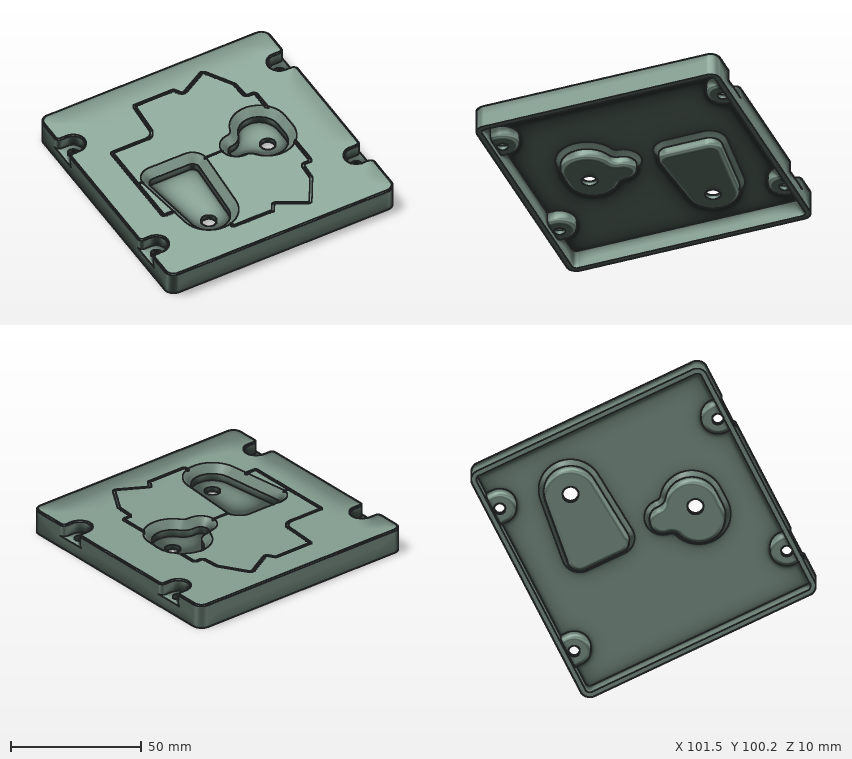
import cadquery as cq
import math

LENGTH = 101.5
WIDTH = 100.2
THICKNESS = 10.0
CORNER_RADIUS = 4.0
EDGE_CHAMFER = 0.5
WALL = 2.0

SCREW_Y = 45.5
FRONT_SCREW_XS = (-31.9, 32.3)
BACK_SCREW_XS = (-31.9, 27.6)
SCREW_HOLE_DIAMETER = 4.4
NOTCH_WIDTH = 8.9
NOTCH_FLOOR_Z = 5.0
NOTCH_MOUTH_RADIUS = 1.9

POCKET_FLOOR_Z = 4.1
OUTLINE_HEIGHT = 1.0
FLARE_WIDTH = 3.2
FLARE_DEPTH = 3.0
LOBE_RADIUS = 11.5
PORT_DIAMETER = 6.2

LOBE_XS = (-4.9, 1.0)
LOBE_Y = 21.2
NECK_Y = 8.3
NECK_RADIUS = 6.4
NECK_BLEND_RADIUS = 3.0
UPPER_PORT = (0.0, 22.2)

LOWER_PORT = (25.7, -18.5)
SMALL_CORNER_RADIUS = 6.1
SMALL_CORNER_X = 0.4
SMALL_CORNER_YS = (-11.3, -27.1)

GROOVE_WIDTH = 1.0
GROOVE_DEPTH = 0.5
GROOVE_TOP_Y = 29.0
GROOVE_BOTTOM_Y = -35.2
TIGHT_BEND = 0.5
MEDIUM_BEND = 1.2
WIDE_BEND = 4.1
GROOVE_CORNERS = [
    (-21.7, GROOVE_TOP_Y, MEDIUM_BEND),
    (-21.7, 25.0, MEDIUM_BEND),
    (-29.6, 24.5, MEDIUM_BEND),
    (-41.8, 17.2, MEDIUM_BEND),
    (-34.7, 4.7, MEDIUM_BEND),
    (-38.4, 2.5, TIGHT_BEND),
    (-38.4, -14.9, TIGHT_BEND),
    (-20.0, -16.2, WIDE_BEND),
    (-20.0, GROOVE_BOTTOM_Y, TIGHT_BEND),
]
CENTRE_GROOVE_WIDTH = 0.5


def make_plate():
    plate = cq.Workplane("XY").box(LENGTH, WIDTH, THICKNESS, centered=(True, True, False))
    return plate.edges("|Z").fillet(CORNER_RADIUS)


def cut_notch(plate, screw_x, side):
    """Cut one round-ended notch into the front (side = -1) or back (side = 1)."""
    height = THICKNESS - NOTCH_FLOOR_Z
    reach = WIDTH / 2 - SCREW_Y
    floor = cq.Workplane("XY").workplane(offset=NOTCH_FLOOR_Z)
    round_end = floor.center(screw_x, side * SCREW_Y).circle(NOTCH_WIDTH / 2).extrude(height)
    channel = (
        floor.center(screw_x, side * (SCREW_Y + reach / 2))
        .rect(NOTCH_WIDTH, reach)
        .extrude(height)
    )
    return plate.cut(round_end.union(channel))


def rounded_hull(circles):
    """Block hugging the circles (x, y, radius), which are listed counter-clockwise."""
    tangent_points = []
    for (x1, y1, r1), (x2, y2, r2) in zip(circles, circles[1:] + circles[:1]):
        span = cq.Vector(x2 - x1, y2 - y1)
        along = span.normalized()
        outward = cq.Vector(along.y, -along.x)
        lean = (r1 - r2) / span.Length
        normal = along * lean + outward * (1 - lean**2) ** 0.5
        tangent_points.append((x1 + r1 * normal.x, y1 + r1 * normal.y))
        tangent_points.append((x2 + r2 * normal.x, y2 + r2 * normal.y))
    block = cq.Workplane("XY").polyline(tangent_points).close().extrude(OUTLINE_HEIGHT)
    for x, y, radius in circles:
        block = block.union(cq.Workplane("XY").center(x, y).circle(radius).extrude(OUTLINE_HEIGHT))
    return block.clean()


def toward(start, end, distance):
    """The point at the given distance from start on the way to end."""
    reach = distance / math.dist(start, end)
    return (start[0] + (end[0] - start[0]) * reach, start[1] + (end[1] - start[1]) * reach)


def left_blend_centre():
    """Centre of the arc that rolls along the left lobe and the round neck."""
    lobe_gap = LOBE_RADIUS + NECK_BLEND_RADIUS
    neck_gap = NECK_RADIUS + NECK_BLEND_RADIUS
    lobe_x, lobe_y = LOBE_XS[0], LOBE_Y - NECK_Y
    span = math.hypot(lobe_x, lobe_y)
    spread = math.acos((span**2 + neck_gap**2 - lobe_gap**2) / (2 * span * neck_gap))
    direction = math.atan2(lobe_y, lobe_x) + spread
    return (neck_gap * math.cos(direction), NECK_Y + neck_gap * math.sin(direction))


def right_blend_centre():
    """Centre of the arc that rolls along the right lobe and the neck's straight side."""
    x = NECK_RADIUS + NECK_BLEND_RADIUS
    drop = math.sqrt((LOBE_RADIUS + NECK_BLEND_RADIUS) ** 2 - (x - LOBE_XS[1]) ** 2)
    return (x, LOBE_Y - drop)


def upper_outline():
    left_lobe, right_lobe = [(x, LOBE_Y) for x in LOBE_XS]
    left_blend = left_blend_centre()
    right_blend = right_blend_centre()
    lobe_top = LOBE_Y + LOBE_RADIUS
    return (
        cq.Workplane("XY")
        .moveTo(right_lobe[0], lobe_top)
        .lineTo(left_lobe[0], lobe_top)
        .threePointArc(
            (left_lobe[0] - LOBE_RADIUS, LOBE_Y), toward(left_lobe, left_blend, LOBE_RADIUS)
        )
        .threePointArc(
            toward(left_blend, (LOBE_XS[0], NECK_Y + NECK_RADIUS), NECK_BLEND_RADIUS),
            toward((0, NECK_Y), left_blend, NECK_RADIUS),
        )
        .threePointArc((0, NECK_Y - NECK_RADIUS), (NECK_RADIUS, NECK_Y))
        .lineTo(NECK_RADIUS, right_blend[1])
        .threePointArc(
            toward(right_blend, (NECK_RADIUS, LOBE_Y - LOBE_RADIUS), NECK_BLEND_RADIUS),
            toward(right_lobe, right_blend, LOBE_RADIUS),
        )
        .threePointArc((right_lobe[0] + LOBE_RADIUS, LOBE_Y), (right_lobe[0], lobe_top))
        .close()
        .extrude(OUTLINE_HEIGHT)
    )


def lower_outline():
    small_corners = [(SMALL_CORNER_X, y, SMALL_CORNER_RADIUS) for y in SMALL_CORNER_YS]
    return rounded_hull(small_corners + [(*LOWER_PORT, LOBE_RADIUS)])


def cut_pocket(plate, outline):
    """Sink the block's outline into the top face: a flared rim, then a straight wall to the floor."""
    rim = outline.faces("<Z").wires().val().translate(cq.Vector(0, 0, THICKNESS))
    flare_angle = math.degrees(math.atan2(FLARE_WIDTH, FLARE_DEPTH))
    down = cq.Vector(0, 0, -1)
    flare = cq.Solid.extrudeLinear(cq.Face.makeFromWires(rim), down * FLARE_DEPTH, flare_angle)
    wall_outline = cq.Workplane(flare).faces("<Z").val()
    wall_depth = THICKNESS - FLARE_DEPTH - POCKET_FLOOR_Z
    wall = cq.Solid.extrudeLinear(wall_outline, down * wall_depth)
    return plate.cut(cq.Workplane(flare)).cut(cq.Workplane(wall))


def hollow(plate):
    """Open the underside, leaving an even wall around the notches and pockets."""
    return plate.faces("<Z").shell(-WALL)


def round_notch_mouth(plate, screw_x, side):
    for edge_side in (-1, 1):
        mouth_x = screw_x + edge_side * NOTCH_WIDTH / 2
        middle_z = (NOTCH_FLOOR_Z + THICKNESS) / 2
        mouth = cq.selectors.NearestToPointSelector((mouth_x, side * WIDTH / 2, middle_z))
        plate = plate.edges(mouth).fillet(NOTCH_MOUTH_RADIUS)
    return plate


def chamfer_top_edge(plate):
    rim = plate.faces(">Z").val().outerWire()
    return plate.newObject(rim.Edges()).chamfer(EDGE_CHAMFER)


def cut_outline_groove(plate):
    right_half = [(-x, y, bend) for x, y, bend in reversed(GROOVE_CORNERS)]
    corners = GROOVE_CORNERS + right_half
    centreline = cq.Wire.makePolygon([cq.Vector(x, y, THICKNESS) for x, y, _ in corners], close=True)
    for x, y, bend in corners:
        corner = cq.Vector(x, y, THICKNESS)
        vertex = min(centreline.Vertices(), key=lambda v: (v.Center() - corner).Length)
        centreline = centreline.fillet2D(bend, [vertex])
    outer = centreline.offset2D(GROOVE_WIDTH / 2)[0]
    inner = centreline.offset2D(-GROOVE_WIDTH / 2)[0]
    groove = cq.Solid.extrudeLinear(outer, [inner], cq.Vector(0, 0, -GROOVE_DEPTH))
    return plate.cut(cq.Workplane(groove))


def cut_centre_groove(plate):
    length = NECK_Y - GROOVE_BOTTOM_Y
    groove = (
        cq.Workplane("XY")
        .workplane(offset=THICKNESS - GROOVE_DEPTH)
        .center(0, GROOVE_BOTTOM_Y + length / 2)
        .rect(CENTRE_GROOVE_WIDTH, length)
        .extrude(GROOVE_DEPTH)
    )
    return plate.cut(groove)


def drill(plate, centre, diameter):
    hole = cq.Workplane("XY").center(*centre).circle(diameter / 2).extrude(THICKNESS)
    return plate.cut(hole)


part = make_plate()
screws = [(x, -1) for x in FRONT_SCREW_XS] + [(x, 1) for x in BACK_SCREW_XS]
for screw_x, side in screws:
    part = cut_notch(part, screw_x, side)
part = cut_pocket(part, upper_outline())
part = cut_pocket(part, lower_outline())
part = hollow(part)

for screw_x, side in screws:
    part = round_notch_mouth(part, screw_x, side)
part = chamfer_top_edge(part)

part = cut_outline_groove(part)
part = cut_centre_groove(part)
for screw_x, side in screws:
    part = drill(part, (screw_x, side * SCREW_Y), SCREW_HOLE_DIAMETER)
for port in (UPPER_PORT, LOWER_PORT):
    part = drill(part, port, PORT_DIAMETER)

result = part